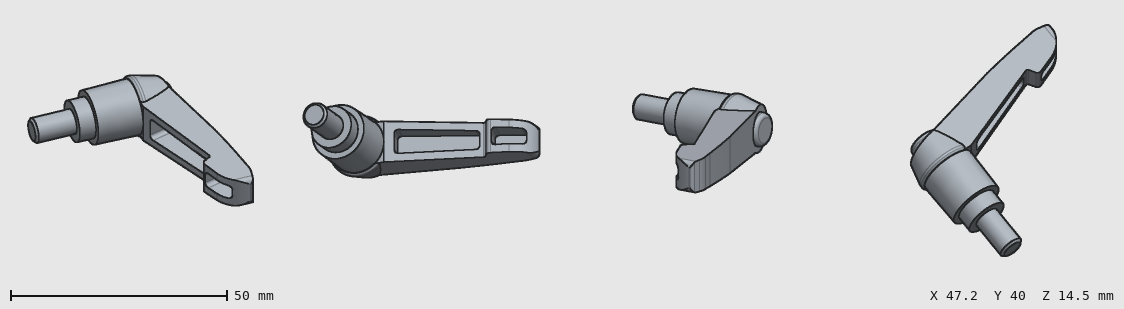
import cadquery as cq
import math


stud_radius = 3.0
stud_length = 10.0
stud_chamfer = 0.6
collar_radius = 5.0
collar_height = 4.0
body_height = 11.0
body_base_radius = 6.5
body_top_radius = 6.75

head_base_y = collar_height + body_height
head_radius = 7.245
head_lip_round = 0.6
head_rim_height = 1.25
head_cone_top_y = 25.0
head_cone_slope = 0.246

button_radius = 4.0
button_top_y = 24.45
button_round = 1.0

top_angle = math.radians(13.2)
top_end_x = 20.5
top_end_y = 27.57

underside_angle = math.radians(20.1)
underside_start_x = body_top_radius
notch_inner_x = 28.74
notch_outer = (30.35, 20.45)
notch_inner_round = 0.5
notch_outer_round = 1.0
grip_end_x = 35.05
nose_end = (40.0, 28.55)
nose_corner_mid = (39.85, 29.15)
nose_corner_end = (39.2, 29.52)
crest_end = (37.5, 29.85)
crest_top = (36.2, 30.0)
crest_start = (34.9, 29.87)
back_end = (32.5, 29.53)
back_mid = (26.5, 28.65)

arm_length = nose_end[0]
arm_root_half_width = 5.2
arm_tip_half_width = 3.74
arm_tip_round = 1.5

pocket_lean = math.radians(15.0)
pocket_wall = 1.95
pocket_corner_round = 1.0
pocket_overcut = 3.0
main_pocket_start_x = 9.0
main_pocket_end_x = 27.6
main_pocket_depth = 3.65
grip_pocket_start_x = 31.25
grip_pocket_end = (38.5, 24.6)
grip_pocket_depth = 4.6


def top_height(x):
    """Height of the sloping flat top at x."""
    return top_end_y - (top_end_x - x) * math.tan(top_angle)


def underside_height(x):
    """Height of the underside between the hub and the notch."""
    return head_base_y + (x - underside_start_x) * math.tan(underside_angle)


def grip_height(x):
    """Height of the straight underside of the finger grip, parallel to the main underside."""
    return notch_outer[1] + (x - notch_outer[0]) * math.tan(underside_angle)


def arm_half_width(x):
    """Half of the tapering arm width at x."""
    return arm_root_half_width + (arm_tip_half_width - arm_root_half_width) * x / arm_length


def make_hub():
    """Stud, collar and slightly tapered hub body, revolved about Y."""
    return (
        cq.Workplane("XY")
        .moveTo(0, -stud_length)
        .lineTo(stud_radius - stud_chamfer, -stud_length)
        .lineTo(stud_radius, stud_chamfer - stud_length)
        .lineTo(stud_radius, 0)
        .lineTo(collar_radius, 0)
        .lineTo(collar_radius, collar_height)
        .lineTo(body_base_radius, collar_height)
        .lineTo(body_top_radius, head_base_y)
        .lineTo(0, head_base_y)
        .close()
        .revolve(360, (0, 0, 0), (0, 1, 0))
    )


def make_head():
    """Cone with a rounded lower lip, cut off by the sloping flat top."""
    rim_y = head_base_y + head_rim_height
    cone_top_radius = head_radius - (head_cone_top_y - rim_y) * head_cone_slope
    cone = (
        cq.Workplane("XY")
        .moveTo(0, head_base_y)
        .lineTo(head_radius - head_lip_round, head_base_y)
        .radiusArc((head_radius, head_base_y + head_lip_round), -head_lip_round)
        .lineTo(head_radius, rim_y)
        .lineTo(cone_top_radius, head_cone_top_y)
        .lineTo(0, head_cone_top_y)
        .close()
        .revolve(360, (0, 0, 0), (0, 1, 0))
    )
    reach = 2 * head_radius
    below_top = (
        cq.Workplane("XY")
        .moveTo(-reach, 0)
        .lineTo(reach, 0)
        .lineTo(reach, top_height(reach))
        .lineTo(-reach, top_height(-reach))
        .close()
        .extrude(reach, both=True)
    )
    return cone.intersect(below_top)


def make_button():
    """Round button with a rounded top edge."""
    return (
        cq.Workplane("XZ", origin=(0, head_base_y, 0))
        .circle(button_radius)
        .extrude(head_base_y - button_top_y)
        .faces(">Y")
        .edges()
        .fillet(button_round)
    )


def make_arm():
    """Side outline of the arm, trimmed to its tapering plan."""
    profile = (
        cq.Workplane("XY")
        .moveTo(0, head_base_y)
        .lineTo(underside_start_x, head_base_y)
        .lineTo(notch_inner_x, underside_height(notch_inner_x))
        .lineTo(*notch_outer)
        .lineTo(grip_end_x, grip_height(grip_end_x))
        .tangentArcPoint(nose_end, relative=False)
        .threePointArc(nose_corner_mid, nose_corner_end)
        .lineTo(*crest_end)
        .threePointArc(crest_top, crest_start)
        .lineTo(*back_end)
        .threePointArc(back_mid, (top_end_x, top_end_y))
        .lineTo(0, top_height(0))
        .close()
        .extrude(arm_root_half_width, both=True)
    )
    profile = round_edge_at(profile, notch_inner_x, underside_height(notch_inner_x), notch_inner_round)
    profile = round_edge_at(profile, notch_outer[0], notch_outer[1], notch_outer_round)
    plan_height = 2 * crest_top[1]
    plan = (
        cq.Workplane("XZ")
        .moveTo(0, -arm_root_half_width)
        .lineTo(arm_length, -arm_tip_half_width)
        .lineTo(arm_length, arm_tip_half_width)
        .lineTo(0, arm_root_half_width)
        .close()
        .extrude(-plan_height)
        .edges("|Y and >X")
        .fillet(arm_tip_round)
    )
    return profile.intersect(plan)


def round_edge_at(solid, x, y, radius):
    """Round the Z-parallel edge that passes through (x, y)."""
    return solid.edges(cq.selectors.NearestToPointSelector((x, y, 0))).fillet(radius)


def make_pocket_cutter(start, end, depth):
    """Tapering, round-cornered cutter whose opening runs from start to end and whose depth is met at end."""
    along = cq.Vector(math.cos(pocket_lean), math.sin(pocket_lean), 0)
    inward = cq.Vector(-math.sin(pocket_lean), math.cos(pocket_lean), 0)
    length = (end[0] - start[0]) * along.x + (end[1] - start[1]) * along.y
    start_half = arm_half_width(start[0]) - pocket_wall
    end_half = arm_half_width(end[0]) - pocket_wall
    return (
        cq.Workplane(cq.Plane(origin=(end[0], end[1], 0), xDir=along, normal=inward))
        .workplane(offset=-pocket_overcut)
        .moveTo(-length, -start_half)
        .lineTo(0, -end_half)
        .lineTo(0, end_half)
        .lineTo(-length, start_half)
        .close()
        .extrude(pocket_overcut + depth)
        .edges(cq.selectors.ParallelDirSelector(inward))
        .fillet(pocket_corner_round)
    )


main_pocket = make_pocket_cutter(
    (main_pocket_start_x, underside_height(main_pocket_start_x)),
    (main_pocket_end_x, underside_height(main_pocket_end_x)),
    main_pocket_depth,
)
grip_pocket = make_pocket_cutter(
    (grip_pocket_start_x, grip_height(grip_pocket_start_x)),
    grip_pocket_end,
    grip_pocket_depth,
)

arm = make_arm().cut(main_pocket).cut(grip_pocket)
result = make_hub().union(make_head()).union(arm).union(make_button())